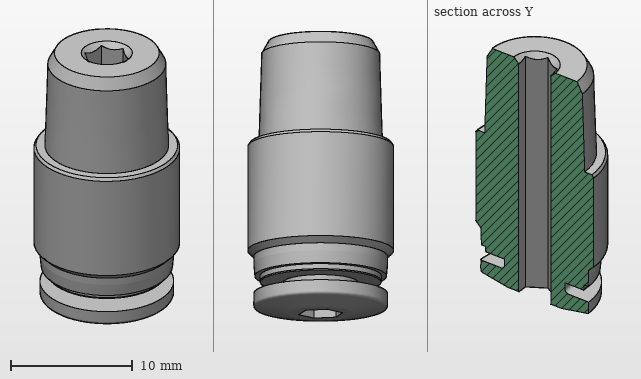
import cadquery as cq
import math

total_length = 22.8

button_radius = 11.0 / 2
button_face_radius = 2.72
button_rim_height = 0.52
button_rim_round = 0.25
button_top_height = 1.7
neck_radius = 6.16 / 2
neck_round = 0.35

ring_radius = 10.0 / 2
ring_bottom_height = 2.63
ring_chamfer_width = 0.05
ring_chamfer_height = 0.1
collar_radius = button_radius
collar_bottom_radius = 5.41
collar_bottom_height = 3.15
collar_taper_top_height = 4.15

body_radius = 12.0 / 2
body_bottom_height = 4.8
body_bottom_chamfer = body_radius - collar_radius
body_top_height = 14.27
body_top_chamfer_width = 0.18
body_top_chamfer_height = 0.25

spigot_taper = 1 / 16
spigot_end_radius = 4.3
spigot_lead_in_radius = 4.855
spigot_lead_in_length = 1.0
spigot_taper_top_height = total_length - spigot_lead_in_length
spigot_taper_length = spigot_taper_top_height - body_top_height
spigot_base_radius = spigot_lead_in_radius + spigot_taper_length * spigot_taper / 2

hex_across_flats = 3.2
hex_across_corners = hex_across_flats / math.cos(math.radians(30))
hex_corner_rotation = 90
countersink_radius = 2.1
countersink_half_angle = 45
countersink_depth = countersink_radius / math.tan(math.radians(countersink_half_angle))


def revolve_profile(points):
    """Revolve a closed (radius, height) outline about the Z axis."""
    return cq.Workplane("XZ").polyline(points).close().revolve(360, (0, 0, 0), (0, 1, 0))


def make_button():
    """Flanged button whose neck reaches up into the collet ring."""
    button = revolve_profile([
        (0, 0),
        (button_face_radius, 0),
        (button_radius, button_rim_height),
        (button_radius, button_top_height),
        (neck_radius, button_top_height),
        (neck_radius, collar_bottom_height),
        (0, collar_bottom_height),
    ])
    rim = cq.selectors.RadiusNthSelector(-1)
    button = button.edges("%CIRCLE").edges(rim).edges("<Z").fillet(button_rim_round)
    neck_root = cq.selectors.BoxSelector(
        (-button_radius, -button_radius, button_top_height - neck_round),
        (button_radius, button_radius, button_top_height + neck_round),
    )
    neck_edge = button.edges(neck_root).edges(cq.selectors.RadiusNthSelector(0))
    return neck_edge.fillet(neck_round)


def make_housing():
    """Collet ring, tapered collar, body and tapered spigot."""
    return revolve_profile([
        (0, ring_bottom_height),
        (ring_radius - ring_chamfer_width, ring_bottom_height),
        (ring_radius, ring_bottom_height + ring_chamfer_height),
        (ring_radius, collar_bottom_height),
        (collar_bottom_radius, collar_bottom_height),
        (collar_radius, collar_taper_top_height),
        (collar_radius, body_bottom_height),
        (body_radius, body_bottom_height + body_bottom_chamfer),
        (body_radius, body_top_height - body_top_chamfer_height),
        (body_radius - body_top_chamfer_width, body_top_height),
        (spigot_base_radius, body_top_height),
        (spigot_lead_in_radius, spigot_taper_top_height),
        (spigot_end_radius, total_length),
        (0, total_length),
    ])


def make_key_passage():
    """Hexagonal through passage with two corners on the Y axis."""
    return (
        cq.Workplane("XY")
        .transformed(rotate=(0, 0, hex_corner_rotation))
        .polygon(6, hex_across_corners)
        .extrude(total_length)
    )


def make_countersink():
    """Cone that opens the mouth of the key passage."""
    return revolve_profile([
        (0, total_length - countersink_depth),
        (countersink_radius, total_length),
        (0, total_length),
    ])


fitting = make_button().union(make_housing())
result = fitting.cut(make_key_passage()).cut(make_countersink())